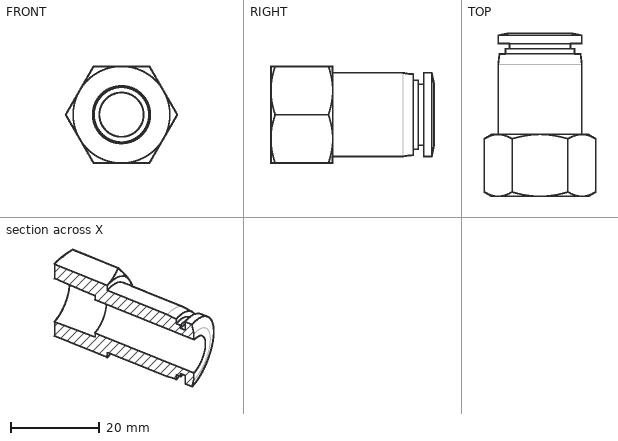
import cadquery as cq
import math

total_length = 37.1

hex_flats = 22.0
hex_length = 14.05
hex_corners = hex_flats / math.cos(math.radians(30))
hex_face_radius = hex_flats / 2
hex_chamfer_angle = 30.0

body_radius = 9.55
body_end = 29.98
shoulder_radius = 9.25
shoulder_end = 32.4

collar_radius = 7.85
collar_end = 33.55
neck_radius = 6.97
neck_end = 34.7
ring_radius = body_radius
ring_edge_end = 36.58
ring_face_radius = 7.0

socket_mouth_radius = 6.55
socket_depth = 10.75
socket_taper = 1 / 16
socket_end_radius = socket_mouth_radius - socket_depth * socket_taper / 2
bore_radius = 5.0


def revolve_about_y(points):
    """Turn a (radius, Y) outline about the Y axis."""
    return cq.Workplane("XY").polyline(points).close().revolve(360, (0, 0, 0), (0, 1, 0))


def make_hexagon():
    """Hexagonal prism with corners on X, conically chamfered at both ends."""
    prism = cq.Workplane("XZ").polygon(6, hex_corners).extrude(-hex_length)
    corner_radius = hex_corners / 2
    chamfer_length = (corner_radius - hex_face_radius) * math.tan(math.radians(hex_chamfer_angle))
    envelope = revolve_about_y([
        (0, 0),
        (hex_face_radius, 0),
        (corner_radius, chamfer_length),
        (corner_radius, hex_length - chamfer_length),
        (hex_face_radius, hex_length),
        (0, hex_length),
    ])
    return prism.intersect(envelope)


def make_round_body():
    """Body, shoulder, collar, neck and release ring as one turned solid."""
    return revolve_about_y([
        (0, 0),
        (body_radius, 0),
        (body_radius, body_end),
        (shoulder_radius, shoulder_end),
        (collar_radius, shoulder_end),
        (collar_radius, collar_end),
        (neck_radius, collar_end),
        (neck_radius, neck_end),
        (ring_radius, neck_end),
        (ring_radius, ring_edge_end),
        (ring_face_radius, total_length),
        (0, total_length),
    ])


def make_passage():
    """Tapered socket opening into the narrower through bore."""
    return revolve_about_y([
        (0, 0),
        (socket_mouth_radius, 0),
        (socket_end_radius, socket_depth),
        (bore_radius, socket_depth),
        (bore_radius, total_length),
        (0, total_length),
    ])


result = make_hexagon().union(make_round_body()).cut(make_passage())